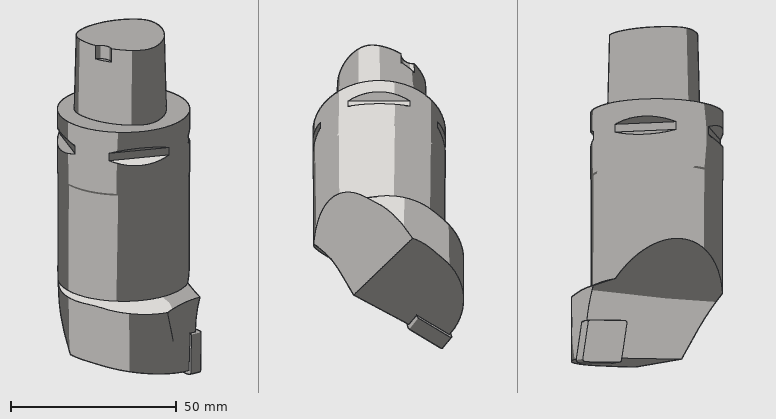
import cadquery as cq
import math


taper_length = 23.9
taper_base_radius = 13.9
taper_ratio = 1 / 40
lobe_height = 0.99
lobe_half_angle = 32.0
first_lobe_angle = 90.0
lobe_pitch = 120.0
curve_samples = 12

notch_radius = 3.6
notch_depth = 4.3
notch_floor_distance = 10.9

flange_radius = 40.0 / 2
shank_radius = 39.7 / 2
flange_height = 20.0
flange_step = 0.6
slot_count = 4
slot_mid_z = -8.1
slot_floor_height = 2.4
slot_mouth_height = 5.6
slot_floor_distance = 17.7
slot_length = 2 * flange_radius

head_top_z = -54.6
head_blank_bottom_z = -83.2
head_cone_drop = 9.4
head_cone_run = 20.8
head_front = 22.3
front_flat_length = 5.5
left_lobe_radius = 17.0
right_lobe_radius = 20.0

slant_point = (-shank_radius, 0, -47.8)
slant_normal = (-27.2, 0, -14.0)
bottom_point = (-5.3, 5.5, -76.4)
bottom_normal = (-0.09, -0.1, -1)
end_point = (25.0, 2.7, -56.6)
end_normal = (1, -0.16, 0.07)
trim_size = 124.8

flute_turn = -12.4
flute_start = (29.1, -32.2)
flute_bend_start = (8.7, -55.7)
flute_bend_middle = (6.5, -60.6)
flute_bend_end = (5.1, -67.1)
flute_end = (4.2, -83.2)
flute_far = 41.6
flute_length = 124.8

insert_tip = (26.9, -0.2, -80.2)
insert_normal = (0.16, 1, -0.14)
insert_edge_direction = (-1, 0.17, 0.08)
insert_side = 12.9
insert_angle = 80.0
insert_thickness = 4.8
insert_corner_radius = 0.8


def taper_section(mean_radius, z):
    """Closed outline of constant width with three lobes."""
    def point_at(degrees):
        angle = math.radians(degrees)
        phase = math.radians(3 * (degrees - first_lobe_angle))
        reach = mean_radius + lobe_height * math.cos(phase)
        slide = -3 * lobe_height * math.sin(phase)
        return cq.Vector(
            reach * math.cos(angle) - slide * math.sin(angle),
            reach * math.sin(angle) + slide * math.cos(angle),
            z,
        )

    edges = []
    for lobe in range(3):
        lobe_angle = first_lobe_angle + lobe * lobe_pitch
        lobe_start = lobe_angle - lobe_half_angle
        lobe_end = lobe_angle + lobe_half_angle
        next_start = lobe_start + lobe_pitch
        for start, end in ((lobe_start, lobe_end), (lobe_end, next_start)):
            step = (end - start) / curve_samples
            points = [point_at(start + i * step) for i in range(curve_samples + 1)]
            edges.append(cq.Edge.makeSpline(points))
    return cq.Wire.assembleEdges(edges)


def make_taper():
    top_radius = taper_base_radius - taper_length * taper_ratio
    sections = [taper_section(taper_base_radius, 0), taper_section(top_radius, taper_length)]
    taper = cq.Workplane(cq.Solid.makeLoft(sections, True))
    notch = (
        cq.Workplane("XY", origin=(0, 0, taper_length - notch_depth))
        .center(0, -notch_floor_distance - notch_radius)
        .circle(notch_radius)
        .extrude(notch_depth)
    )
    return taper.cut(notch)


def make_shank():
    """Flange and shank, revolved and reaching down through the head."""
    return (
        cq.Workplane("XZ")
        .polyline([
            (0, 0),
            (flange_radius, 0),
            (flange_radius, -flange_height),
            (shank_radius, -flange_height - flange_step),
            (shank_radius, head_blank_bottom_z),
            (0, head_blank_bottom_z),
        ])
        .close()
        .revolve(360, (0, 0, 0), (0, 1, 0))
    )


def make_gripper_slot():
    """Trapezoidal groove along Y, cut into the +X side of the flange."""
    depth = flange_radius - slot_floor_distance
    flank_rise = (slot_mouth_height - slot_floor_height) / 2
    floor_half = slot_floor_height / 2
    outer_x = slot_floor_distance + 2 * depth
    outer_half = floor_half + 2 * flank_rise
    return (
        cq.Workplane("XZ")
        .polyline([
            (slot_floor_distance, slot_mid_z - floor_half),
            (outer_x, slot_mid_z - outer_half),
            (outer_x, slot_mid_z + outer_half),
            (slot_floor_distance, slot_mid_z + floor_half),
        ])
        .close()
        .extrude(slot_length / 2, both=True)
    )


def make_head():
    """Offset head: tangent outline around the shank, topped by a cone."""
    left_centre_y = left_lobe_radius - head_front
    right_centre_y = right_lobe_radius - head_front
    right_end_x = front_flat_length + right_lobe_radius

    normal_y = (shank_radius - left_lobe_radius) / left_centre_y
    normal_x = -math.sqrt(1 - normal_y**2)
    mid_length = math.hypot(normal_x, normal_y - 1)
    mid_x = normal_x / mid_length
    mid_y = (normal_y - 1) / mid_length
    diagonal = right_lobe_radius * math.sqrt(0.5)

    outline = (
        cq.Workplane("XY", origin=(0, 0, head_blank_bottom_z))
        .moveTo(0, shank_radius)
        .threePointArc((-shank_radius, 0), (shank_radius * normal_x, shank_radius * normal_y))
        .lineTo(left_lobe_radius * normal_x, left_centre_y + left_lobe_radius * normal_y)
        .threePointArc(
            (left_lobe_radius * mid_x, left_centre_y + left_lobe_radius * mid_y),
            (0, -head_front),
        )
        .lineTo(front_flat_length, -head_front)
        .threePointArc(
            (front_flat_length + diagonal, right_centre_y - diagonal),
            (right_end_x, right_centre_y),
        )
        .lineTo(right_end_x, shank_radius)
        .close()
        .extrude(head_top_z - head_blank_bottom_z)
    )
    cone_radius = shank_radius + head_cone_run
    cone = (
        cq.Workplane("XZ")
        .polyline([
            (0, head_top_z),
            (shank_radius, head_top_z),
            (cone_radius, head_top_z - head_cone_drop),
            (cone_radius, head_blank_bottom_z),
            (0, head_blank_bottom_z),
        ])
        .close()
        .revolve(360, (0, 0, 0), (0, 1, 0))
    )
    return outline.intersect(cone)


def outside_of(point, normal):
    """Block that fills the space beyond a plane."""
    plane = cq.Plane(origin=point, normal=normal)
    return cq.Workplane(plane).rect(trim_size, trim_size).extrude(trim_size)


def make_flute():
    return (
        cq.Workplane("YZ")
        .moveTo(*flute_start)
        .lineTo(*flute_bend_start)
        .threePointArc(flute_bend_middle, flute_bend_end)
        .lineTo(*flute_end)
        .lineTo(flute_far, flute_end[1])
        .lineTo(flute_far, flute_start[1])
        .close()
        .extrude(flute_length / 2, both=True)
        .rotate((0, 0, 0), (0, 0, 1), flute_turn)
    )


def make_insert():
    """Rhombic plate; its cutting tip is the origin of its own plane."""
    plane = cq.Plane(origin=insert_tip, xDir=insert_edge_direction, normal=insert_normal)
    angle = math.radians(insert_angle)
    side_x = insert_side * math.cos(angle)
    side_y = insert_side * math.sin(angle)
    plate = (
        cq.Workplane(plane)
        .polyline([(0, 0), (insert_side, 0), (insert_side + side_x, side_y), (side_x, side_y)])
        .close()
        .extrude(-insert_thickness)
    )
    across_rake = cq.selectors.ParallelDirSelector(plane.zDir)
    return plate.edges(across_rake).fillet(insert_corner_radius)


def make_holder(insert):
    head = make_head().cut(outside_of(end_point, end_normal))
    holder = make_shank().union(head)
    holder = holder.cut(outside_of(slant_point, slant_normal))
    holder = holder.cut(outside_of(bottom_point, bottom_normal))
    holder = holder.cut(make_flute()).union(make_taper())
    for i in range(slot_count):
        slot_angle = (i + 0.5) * 360 / slot_count
        holder = holder.cut(make_gripper_slot().rotate((0, 0, 0), (0, 0, 1), slot_angle))
    return holder.cut(insert)


insert = make_insert()
holder = make_holder(insert)
result = cq.Compound.makeCompound([holder.solids().val(), insert.solids().val()])